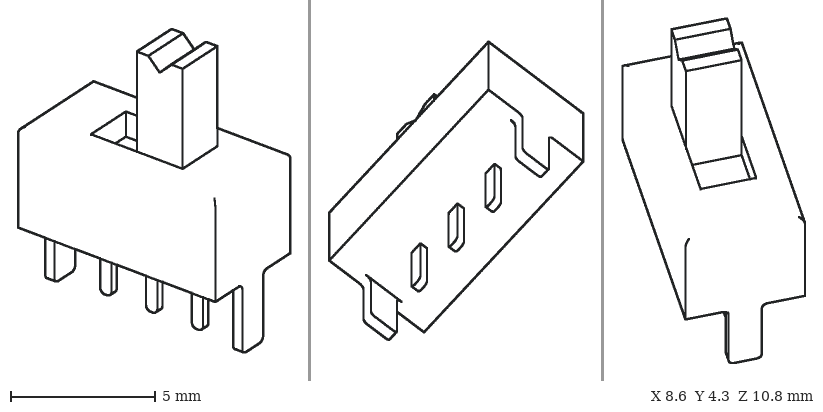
import cadquery as cq

total_height = 10.8
length = 8.6
width = 4.3
pin_length = 2.8
lever_height = 4.0
body_height = total_height - pin_length - lever_height
edge_radius = 0.2

lever_size = 2.0
slot_depth = 1.0
notch_half_width = 0.5
notch_depth = 0.5

pin_pitch = lever_size
pin_width = 0.5
pin_thickness = 0.3
tab_thickness = 0.4
tab_width = 1.2
corner_radius = 0.2


def make_housing():
    """Box with rounded top edges and a slot two lever widths long."""
    body = cq.Workplane("XY").box(length, width, body_height, centered=(True, True, False))
    body = body.faces(">Z").edges().fillet(edge_radius)
    slot = (
        cq.Workplane("XY")
        .workplane(offset=body_height - slot_depth)
        .rect(2 * lever_size, lever_size)
        .extrude(slot_depth)
    )
    return body.cut(slot)


def make_lever():
    """Square lever at the +X end of the slot, with a V notch across its tip."""
    bottom = body_height - slot_depth
    top = body_height + lever_height
    middle = lever_size / 2
    return (
        cq.Workplane("XZ")
        .moveTo(0, bottom)
        .lineTo(lever_size, bottom)
        .lineTo(lever_size, top)
        .lineTo(middle + notch_half_width, top)
        .lineTo(middle, top - notch_depth)
        .lineTo(middle - notch_half_width, top)
        .lineTo(0, top)
        .close()
        .extrude(lever_size / 2, both=True)
    )


def make_pin(x):
    """Flat contact pin with a rounded tip."""
    return (
        cq.Workplane("XY")
        .center(x, 0)
        .rect(pin_width, pin_thickness)
        .extrude(-pin_length)
        .faces("<Z")
        .edges("|Y")
        .fillet(corner_radius)
    )


def make_tab(side):
    """Mounting tab flush with one end, flared at the root and rounded at the tip."""
    half = tab_width / 2
    flare = half + corner_radius
    profile = (
        cq.Workplane("YZ")
        .workplane(offset=side * length / 2)
        .moveTo(-flare, 0)
        .lineTo(flare, 0)
        .radiusArc((half, -corner_radius), -corner_radius)
        .lineTo(half, corner_radius - pin_length)
        .radiusArc((half - corner_radius, -pin_length), corner_radius)
        .lineTo(corner_radius - half, -pin_length)
        .radiusArc((-half, corner_radius - pin_length), corner_radius)
        .lineTo(-half, -corner_radius)
        .radiusArc((-flare, 0), -corner_radius)
        .close()
    )
    return profile.extrude(-side * tab_thickness)


result = make_housing().union(make_lever())
for x in (-pin_pitch, 0, pin_pitch):
    result = result.union(make_pin(x))
for side in (-1, 1):
    result = result.union(make_tab(side))